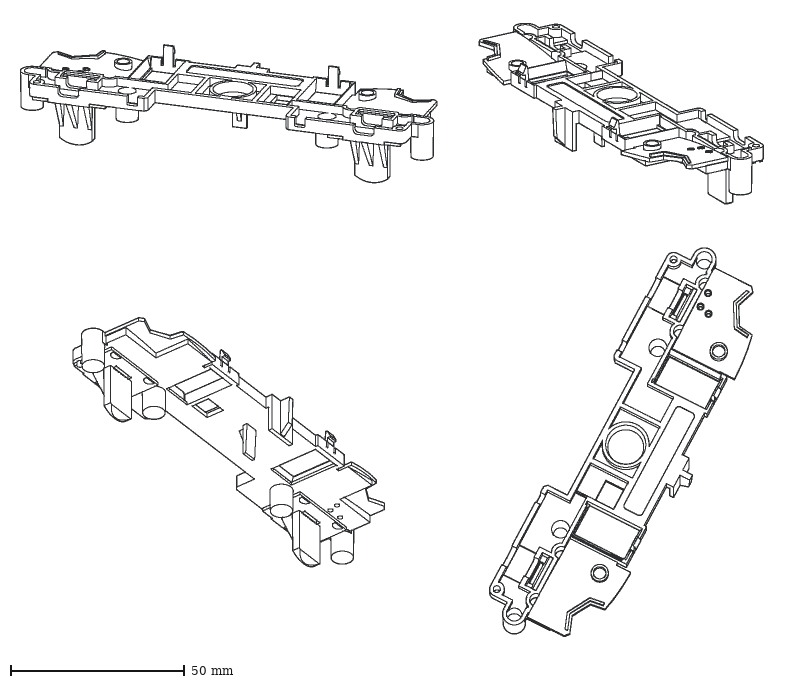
import cadquery as cq

length = 125.89
depth = 36.6
clip_top = 4.15
snap_bottom = -20.0

rail_bottom = -4.0
floor_top = -2.5
slab_bottom = -5.0
strip_floor = -3.4

wall = 1.5
rail_front = 7.25
rail_back = 31.1
foot_inner_x = -21.1
foot_outer_x = -57.5
foot_side_wall = 1.3
foot_corner_radius = 2.1
foot_inner_chamfer = 0.9
main_wall_back = 13.65
main_wall_front = 12.5
pocket_back = 21.1
pocket_front = rail_front + wall

post_radius = 3.4
post_tip_radius = 3.25
post_bottom = -11.1
post_bore_bottom = -9.0
post_y = 9.95
end_post_x = -(length / 2 - post_radius)
end_bore_radius = 2.25
inner_post_x = -30.5
inner_bore_radius = 2.6
inner_bore_tip_radius = 2.1
foot_hole_x = foot_outer_x + foot_corner_radius
foot_hole_radius = 1.0
foot_pad_radius = 2.2

frame_outer_x = -31.6
frame_inner_x = -18.9
frame_back = 31.9
frame_rim = 0.3
window_left, window_right = -29.9, -20.05
window_front, window_back = 14.0, 30.2
window_back_top = 31.2
ledge_top = -3.0
ledge_side_width = 0.5
ledge_front_width = 0.8
clip_x = -25.2
clip_width = 2.95
clip_slit = 0.7
slit_bottom = -2.0
clip_front, clip_back = 30.7, 31.8

wing_outer_x = -58.7
wing_outer_z = -0.2
wing_crown_x, wing_crown_z = -45.0, -1.0
wing_inner_z = -3.0
wing_thickness = 1.2
lip_height = 0.9
lip_inset = 0.75
lip_width = 0.8
boss_x, boss_y = -37.3, 26.2
boss_top = -0.4
boss_radius = 2.5
boss_bore_radius = 1.8
boss_bore_bottom = -2.0

notch_points = [(-57.4, 26.9), (-52.2, 25.0), (-46.7, 28.1), (-46.1, 32.5)]

snap_x = -45.1
snap_width = 10.0
snap_front, snap_back = 6.7, 9.1
snap_arc_rise = 1.7
box_width = 13.1
box_front, box_back = rail_front, 12.9
box_wall = 1.1
box_back_top = 12.3
box_step = 1.1
box_step_z = -0.6
slot_width = 7.2
slot_front, slot_back = 8.8, 10.1
scallop_offset = 7.9
scallop_radius = 1.85
scallop_wall_radius = 2.9

cup_y = 15.3
cup_radius = 6.8
cup_mouth_radius = 5.8
cup_base_radius = 5.2
cup_floor = -3.0


def block(x0, x1, y0, y1, z0, z1):
    """Box between the given limits."""
    return cq.Workplane("XY").box(x1 - x0, y1 - y0, z1 - z0, centered=False).translate((x0, y0, z0))


def cylinder(x, y, radius, z0, z1):
    return cq.Workplane("XY", origin=(x, y, z0)).circle(radius).extrude(z1 - z0)


def cone(x, y, z0, radius0, z1, radius1):
    """Cone frustum between two levels."""
    base = cq.Workplane("XY", origin=(x, y, z0)).circle(radius0)
    return base.workplane(offset=z1 - z0).circle(radius1).loft()


def side_plate(points, x, width):
    """Plate with a (Y, Z) outline, centred on x."""
    return cq.Workplane("YZ", origin=(x - width / 2, 0, 0)).polyline(points).close().extrude(width)


def both_ends(body):
    return body.union(body.mirror("YZ"))


def posts():
    end = cone(end_post_x, post_y, post_bottom, post_tip_radius, 0, post_radius)
    inner = cone(inner_post_x, post_y, post_bottom, post_tip_radius, rail_bottom, post_radius)
    return end.union(inner)


def foot_body():
    """Solid foot with its posts, before its floor is sunk."""
    foot = block(foot_outer_x, foot_inner_x, 0, main_wall_back, rail_bottom, 0)
    foot = foot.edges("|Z and <X and <Y").fillet(foot_corner_radius)
    foot = foot.edges("|Z and >X and <Y").chamfer(foot_inner_chamfer)
    bridge = block(end_post_x, foot_outer_x + wall, post_y - post_radius, post_y + post_radius, rail_bottom, 0)
    return foot.union(bridge).union(posts())


def foot_floor_cut():
    """Space sunk into the foot, leaving its walls, the hole pad and the scallop walls."""
    space_left, space_right = foot_outer_x + foot_side_wall, foot_inner_x - foot_side_wall
    space = block(space_left, space_right, wall, main_wall_front, floor_top, 0)
    space = space.union(block(foot_inner_x - wall, frame_inner_x, pocket_front, main_wall_front, floor_top, 0))
    space = space.cut(cylinder(foot_hole_x, foot_corner_radius, foot_pad_radius, floor_top, 0))
    opening_x = foot_outer_x + wall
    bore_front, bore_back = post_y - end_bore_radius, post_y + end_bore_radius
    space = space.union(block(end_post_x, opening_x, bore_front, bore_back, floor_top, 0))
    for side in (-1, 1):
        scallop_x = snap_x + side * scallop_offset
        space = space.cut(cylinder(scallop_x, main_wall_back, scallop_wall_radius, floor_top, 0))
    return space


def snap_box_walls():
    return block(snap_x - box_width / 2, snap_x + box_width / 2, box_front, box_back, strip_floor, 0)


def snap_box_cut():
    """Inside of the box with a stepped, sloping back, the slot below it and the sunken strip in front."""
    inside_front = box_front + wall
    shelf_back = 10.45
    inside = side_plate(
        [
            (inside_front, 0),
            (box_back_top, 0),
            (box_back_top, box_step_z),
            (box_back_top - box_step, box_step_z),
            (shelf_back, strip_floor),
            (inside_front, strip_floor),
        ],
        snap_x,
        box_width - 2 * box_wall,
    )
    slot = side_plate(
        [
            (slot_front, slab_bottom),
            (slot_front, strip_floor),
            (shelf_back, strip_floor),
            (slot_back, slab_bottom),
        ],
        snap_x,
        slot_width,
    )
    strip = block(snap_x - snap_width / 2, snap_x + snap_width / 2, wall, box_front, strip_floor, 0)
    return inside.union(slot).union(strip)


def wall_notch(x, width, y0, y1, notch_depth, corner):
    """Notch with rounded lower corners through a wall that runs along X."""
    notch = block(x - width / 2, x + width / 2, y0, y1, -notch_depth, 1)
    return notch.edges("|Y and <Z").fillet(corner)


def foot_notches():
    snap_notch_width, snap_notch_depth, snap_notch_corner = 6.3, 2.7, 1.3
    side_notch_x, side_notch_width, side_notch_depth, side_notch_corner = -25.6, 3.2, 2.7, 0.5
    box_back_face = box_front + wall
    front = wall_notch(snap_x, snap_notch_width, 0, wall, snap_notch_depth, snap_notch_corner)
    box = wall_notch(snap_x, snap_notch_width, box_front, box_back_face, snap_notch_depth, snap_notch_corner)
    side = wall_notch(side_notch_x, side_notch_width, 0, wall, side_notch_depth, side_notch_corner)
    return front.union(box).union(side)


def snap_arm():
    """Hanging arm with a rounded tip bevelled towards the back."""
    half = snap_width / 2
    corner_z = snap_bottom + snap_arc_rise
    bevel_start, bevel_rise = 0.4, 1.4
    face = (
        cq.Workplane("XZ", origin=(snap_x, snap_back, 0))
        .moveTo(-half, slab_bottom)
        .lineTo(-half, corner_z)
        .threePointArc((0, snap_bottom), (half, corner_z))
        .lineTo(half, slab_bottom)
        .close()
        .extrude(snap_back - snap_front)
    )
    bevel = side_plate(
        [
            (snap_front + bevel_start, snap_bottom),
            (snap_back, snap_bottom + bevel_rise),
            (snap_back, snap_bottom),
        ],
        snap_x,
        snap_width,
    )
    return face.cut(bevel)


def snap_fin(x, root_width, tip_width, reach_y):
    """Fin in front of the arm that thins and runs out downwards."""
    fin_bottom = -14.7
    profile = [(snap_front, slab_bottom), (reach_y, slab_bottom), (snap_front, fin_bottom)]
    taper = (
        cq.Workplane("XZ", origin=(x, snap_front, 0))
        .polyline(
            [
                (-root_width / 2, slab_bottom),
                (root_width / 2, slab_bottom),
                (tip_width / 2, fin_bottom),
                (-tip_width / 2, fin_bottom),
            ]
        )
        .close()
        .extrude(snap_front)
    )
    return side_plate(profile, x, root_width).intersect(taper)


def snap_fins():
    """Long centre fin and two shorter outer fins."""
    root_width, tip_width = 1.8, 1.1
    centre_reach_y, outer_reach_y = 0.4, 2.7
    edge_gap = 0.1
    fins = snap_fin(snap_x, root_width, tip_width, centre_reach_y)
    for side in (-1, 1):
        outer_x = snap_x + side * (snap_width / 2 - tip_width / 2 - edge_gap)
        fins = fins.union(snap_fin(outer_x, root_width, tip_width, outer_reach_y))
    return fins


def snap_slab():
    """Thickened floor that carries the snap arm."""
    setback = 0.4
    wide_left, wide_right = -56.1, -34.0
    flush_left, flush_right = -51.4, -38.7
    wide = block(wide_left, wide_right, setback, main_wall_back + setback, slab_bottom, rail_bottom)
    flush = block(flush_left, flush_right, 0, main_wall_front, slab_bottom, rail_bottom)
    return wide.union(flush)


def foot_bores():
    """Post bores, the corner hole and the half-round scallops behind the main wall."""
    end = cylinder(end_post_x, post_y, end_bore_radius, post_bore_bottom, 0)
    inner = cone(inner_post_x, post_y, post_bore_bottom, inner_bore_tip_radius, floor_top, inner_bore_radius)
    bores = end.union(inner)
    bores = bores.union(cylinder(foot_hole_x, foot_corner_radius, foot_hole_radius, slab_bottom, 0))
    in_front_of_wing = block(wing_outer_x, frame_outer_x, 0, main_wall_back, slab_bottom, 0)
    for side in (-1, 1):
        scallop = cylinder(snap_x + side * scallop_offset, main_wall_back, scallop_radius, slab_bottom, 0)
        bores = bores.union(scallop.intersect(in_front_of_wing))
    return bores


def window_frame():
    return block(frame_outer_x, frame_inner_x, main_wall_front, frame_back, rail_bottom, 0)


def window_cut():
    """Through window with a ledge on two sides and sloping outer and back walls."""
    window = block(window_left, window_right, window_front, window_back, rail_bottom, 0)
    ledge_left = window_left - ledge_side_width
    above_front = window_front - ledge_front_width
    above_ledge = (
        cq.Workplane("XZ", origin=(0, window_back, 0))
        .polyline(
            [
                (ledge_left, ledge_top),
                (window_right, ledge_top),
                (window_right, 0),
                (frame_outer_x + frame_rim, 0),
            ]
        )
        .close()
        .extrude(window_back - above_front)
    )
    back_slope = side_plate(
        [(window_back, rail_bottom), (window_back, 0), (window_back_top, 0)],
        (ledge_left + window_right) / 2,
        window_right - ledge_left,
    )
    return window.union(above_ledge).union(back_slope)


def clip():
    """Upright clip with a tooth facing backwards."""
    tooth_y = 32.6
    tooth_bottom, tooth_top = 1.6, 2.2
    front_lean, back_lean = 0.4, 0.2
    return side_plate(
        [
            (clip_front, rail_bottom),
            (clip_front, 0),
            (clip_front + front_lean, clip_top),
            (clip_back - back_lean, clip_top),
            (tooth_y, tooth_top),
            (tooth_y, tooth_bottom),
            (clip_back, tooth_bottom),
            (clip_back, rail_bottom),
        ],
        clip_x,
        clip_width,
    )


def clip_slits():
    """Slits in the frame's back wall on both sides of the clip."""
    slits = cq.Workplane("XY")
    for side in (-1, 1):
        slit_x = clip_x + side * (clip_width + clip_slit) / 2
        half = clip_slit / 2
        slits = slits.union(block(slit_x - half, slit_x + half, window_back, frame_back, slit_bottom, 0))
    return slits


def wing_plan(z0, z1):
    """Upright body with the wing's plan outline."""
    return (
        cq.Workplane("XY", origin=(0, 0, z0))
        .moveTo(frame_outer_x, main_wall_back)
        .lineTo(wing_outer_x, main_wall_back)
        .lineTo(wing_outer_x, 25.8)
        .polyline(notch_points, includeCurrent=True)
        .threePointArc((-39.5, 33.5), (-32.5, 33.8))
        .lineTo(-32.5, 29.1)
        .lineTo(frame_outer_x, 29.1)
        .close()
        .extrude(z1 - z0)
    )


def wing_layer(lower, upper):
    """Layer between two heights above the wing's gently domed top face."""
    return (
        cq.Workplane("XZ", origin=(0, depth, 0))
        .moveTo(wing_outer_x, wing_outer_z + lower)
        .threePointArc((wing_crown_x, wing_crown_z + lower), (frame_outer_x, wing_inner_z + lower))
        .lineTo(frame_outer_x, wing_inner_z + upper)
        .threePointArc((wing_crown_x, wing_crown_z + upper), (wing_outer_x, wing_outer_z + upper))
        .close()
        .extrude(depth)
    )


def hollow(distance):
    """Upright body on the hollow's outline, grown into the wing by a distance."""
    outline = [(-62.0, 28.6), *notch_points[1:3], (-45.1, 39.8), (-62.0, 39.8)]
    plan = cq.Workplane("XY", origin=(0, 0, rail_bottom)).polyline(outline).close()
    return plan.offset2D(distance, "intersection").extrude(-rail_bottom)


def wing_lip():
    """Raised band that follows the hollow a little inside the wing's edge."""
    lip_left, lip_back = -56.9, 31.6
    band = hollow(lip_inset + lip_width).cut(hollow(lip_inset))
    band = band.intersect(block(lip_left, boss_x, main_wall_back, lip_back, rail_bottom, 0))
    return band.intersect(wing_layer(-wing_thickness / 2, lip_height))


def wing():
    """Domed plate with an edge lip, a hollow boss and stiffening blocks below."""
    outer_block_x, inner_block_x = -58.4, -44.0
    block_split_y, block_back = 20.9, 32.5
    space = wing_plan(rail_bottom, 0)
    plate = space.intersect(wing_layer(-wing_thickness, 0))
    boss = cylinder(boss_x, boss_y, boss_radius, wing_inner_z, boss_top)
    bore = cylinder(boss_x, boss_y, boss_bore_radius, boss_bore_bottom, 0)
    below = block(outer_block_x, frame_outer_x, main_wall_back, block_split_y, rail_bottom, 0)
    below = below.union(block(inner_block_x, frame_outer_x, block_split_y, block_back, rail_bottom, 0))
    below = below.intersect(space).intersect(wing_layer(rail_bottom, -wing_thickness / 2))
    return plate.union(below).union(wing_lip()).union(boss).cut(bore)


def end_body():
    """Everything that is the same at both ends, on the -X side."""
    foot = foot_body().cut(foot_floor_cut()).union(snap_slab())
    foot = foot.union(snap_box_walls()).cut(snap_box_cut()).cut(foot_notches())
    foot = foot.union(snap_arm()).union(snap_fins()).cut(foot_bores())
    frame = window_frame().cut(window_cut()).cut(clip_slits()).union(clip())
    return foot.union(frame).union(wing())


def centre_rail():
    """Bar between the frames, with its front wall and floor reaching over to the feet."""
    bar = block(frame_inner_x, -frame_inner_x, rail_front, rail_back, rail_bottom, 0)
    front_wall = block(foot_inner_x, -foot_inner_x, rail_front, pocket_front, rail_bottom, 0)
    floor = block(foot_inner_x, -foot_inner_x, rail_front, main_wall_front, rail_bottom, floor_top)
    return bar.union(front_wall).union(floor)


def centre_cuts():
    """Three pockets, the shallow label field and the round cup inside the middle pocket."""
    left_pocket_end, right_pocket_start, right_pocket_end = -10.6, 9.5, 18.7
    middle_left, middle_right, middle_back = -9.3, 8.0, 21.6
    label_left, label_right = -17.3, 17.0
    label_front, label_back = 23.1, 29.1
    label_floor, label_corner = -0.4, 1.1
    left = block(frame_inner_x, left_pocket_end, pocket_front, pocket_back, floor_top, 0)
    right = block(right_pocket_start, right_pocket_end, pocket_front, pocket_back, floor_top, 0)
    middle = block(middle_left, middle_right, pocket_front, middle_back, floor_top, 0)
    middle = middle.cut(cylinder(0, cup_y, cup_radius, floor_top, 0))
    label = block(label_left, label_right, label_front, label_back, label_floor, 0)
    label = label.edges("|Z").fillet(label_corner)
    cup = cone(0, cup_y, cup_floor, cup_base_radius, 0, cup_mouth_radius)
    return left.union(right).union(middle).union(label).union(cup)


def back_hook():
    """Wide hanging plate with a fin behind it."""
    plate_front, plate_back = 32.1, 33.4
    hook_bottom = -12.2
    half = 4.9
    fin_width = 1.75
    head = block(-half, half, rail_back, plate_back, rail_bottom, 0)
    plate = block(-half, half, plate_front, plate_back, hook_bottom, 0)
    fin = side_plate(
        [
            (plate_front, 0),
            (depth, 0),
            (depth - 0.4, -8.8),
            (plate_back, -11.8),
            (plate_front, hook_bottom),
        ],
        0,
        fin_width,
    )
    return head.union(plate).union(fin)


def middle_snap():
    """Tapered tongue under the rail with a fin in front."""
    front = 20.8
    tongue_bottom = -14.1
    tongue_width = 4.3
    tip_thickness, root_thickness = 0.9, 1.4
    fin_front, fin_bottom, fin_width = 18.2, -12.0, 1.2
    tongue = side_plate(
        [
            (front, rail_bottom),
            (front, tongue_bottom),
            (front + tip_thickness, tongue_bottom),
            (front + root_thickness, rail_bottom),
        ],
        0,
        tongue_width,
    )
    fin = side_plate([(front, rail_bottom), (fin_front, rail_bottom), (front, fin_bottom)], 0, fin_width)
    return tongue.union(fin)


def left_wing_holes():
    """Three holes through the wing with shallow counterbores."""
    radius, mouth_radius, sink = 0.75, 1.0, 0.3
    holes = cq.Workplane("XY")
    mouths = cq.Workplane("XY")
    for x, y in ((-45.9, 18.4), (-51.2, 15.5), (-46.7, 15.4)):
        holes = holes.union(cylinder(x, y, radius, rail_bottom, 0))
        mouths = mouths.union(cylinder(x, y, mouth_radius, rail_bottom, 0))
    return holes.union(mouths.intersect(wing_layer(-sink, -wing_outer_z + lip_height)))


def right_pocket_window():
    """Rectangular opening through the floor of the right pocket."""
    left, right = 11.5, 18.6
    front, back = 14.8, 20.7
    return block(left, right, front, back, rail_bottom, 0)


body = both_ends(end_body()).union(centre_rail()).cut(centre_cuts())
body = body.union(back_hook()).union(middle_snap())
result = body.cut(left_wing_holes()).cut(right_pocket_window())